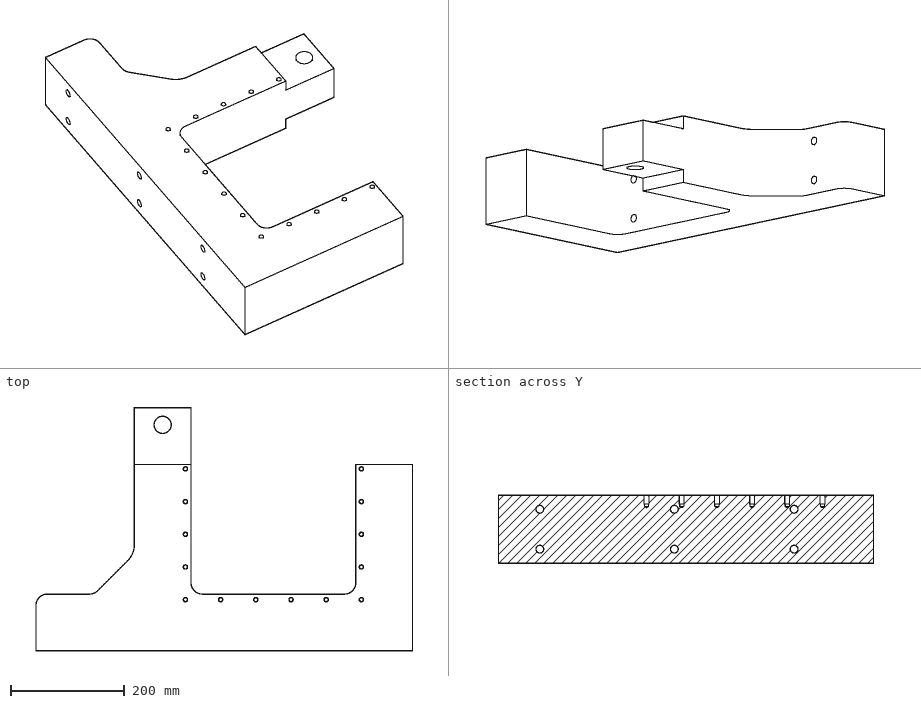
import cadquery as cq
import math

length = 663.0
thickness = 120.0
bar_depth = 100.0
arm_width = 100.0
arm_end_y = 328.0

tongue_length = 100.0
tongue_thickness = 73.5
tongue_hole_diameter = 30.0
tongue_hole_setback = 30.5

corner_radius = 20.0
web_top_radius = 40.0
web_width = 70.0
web_height = 70.0

opening_width = 290.0
opening_right = length - arm_width
opening_left = opening_right - opening_width
left_arm_x = opening_left - arm_width

edge_hole_diameter = 8.0
edge_hole_depth = 16.0
edge_hole_drill_diameter = 6.5
edge_hole_drill_depth = 20.0
edge_hole_tip_angle = 118
edge_hole_inset = 10.0
edge_hole_row_end = 320.0
bar_row_spaces = 5
arm_row_spaces = 4

bar_hole_diameter = 13.0
bar_hole_positions = (75.5, 312.0, 523.0)
bar_hole_spacing = 70.0


def make_body():
    """Plan outline of the bar and both arms, with its vertical corners rounded."""
    web_start = (left_arm_x - web_width, bar_depth)
    web_end = (left_arm_x, bar_depth + web_height)
    bar_end_corner = (0, bar_depth)
    opening_corners = ((opening_left, bar_depth), (opening_right, bar_depth))
    outline = [
        (0, 0),
        (length, 0),
        (length, arm_end_y),
        (opening_right, arm_end_y),
        opening_corners[1],
        opening_corners[0],
        (opening_left, arm_end_y),
        (left_arm_x, arm_end_y),
        web_end,
        web_start,
        bar_end_corner,
    ]
    body = cq.Workplane("XY").polyline(outline).close().extrude(thickness)
    body = round_corners(body, (web_start, bar_end_corner, *opening_corners), corner_radius)
    return round_corners(body, (web_end,), web_top_radius)


def round_corners(body, corners, radius):
    """Fillet the vertical edges that stand at the given plan positions."""
    for x, y in corners:
        edge = cq.selectors.NearestToPointSelector((x, y, thickness / 2))
        body = body.edges("|Z").edges(edge).fillet(radius)
    return body


def make_tongue():
    """Tongue centred in the thickness, with a hole through it."""
    center_x = left_arm_x + arm_width / 2
    hole_y = arm_end_y + tongue_length - tongue_hole_setback
    step = (thickness - tongue_thickness) / 2
    base = cq.Workplane("XY").workplane(offset=step)
    tongue = base.center(center_x, arm_end_y + tongue_length / 2)
    tongue = tongue.rect(arm_width, tongue_length).extrude(tongue_thickness)
    hole = base.center(center_x, hole_y).circle(tongue_hole_diameter / 2).extrude(tongue_thickness)
    return tongue.cut(hole)


def make_edge_hole_cutter():
    """Stepped shape reaching down from the origin: wide part, narrower drill, cone tip."""
    radius = edge_hole_diameter / 2
    drill_radius = edge_hole_drill_diameter / 2
    tip_height = drill_radius / math.tan(math.radians(edge_hole_tip_angle / 2))
    half_section = [
        (0, 0),
        (radius, 0),
        (radius, -edge_hole_depth),
        (drill_radius, -edge_hole_depth),
        (drill_radius, -edge_hole_drill_depth),
        (0, -edge_hole_drill_depth - tip_height),
    ]
    profile = cq.Workplane("XZ").polyline(half_section).close()
    return profile.revolve(360, (0, 0, 0), (0, 1, 0)).val()


def make_edge_holes():
    """Stepped blind holes in a U-shaped row around the opening."""
    left_row_x = opening_left - edge_hole_inset
    right_row_x = opening_right + edge_hole_inset
    bar_row_y = bar_depth - edge_hole_inset
    bar_pitch = (right_row_x - left_row_x) / bar_row_spaces
    arm_pitch = (edge_hole_row_end - bar_row_y) / arm_row_spaces
    points = [(left_row_x + i * bar_pitch, bar_row_y) for i in range(bar_row_spaces + 1)]
    for i in range(1, arm_row_spaces + 1):
        y = bar_row_y + i * arm_pitch
        points += [(left_row_x, y), (right_row_x, y)]
    cutter = make_edge_hole_cutter()
    locations = cq.Workplane("XY").workplane(offset=thickness).pushPoints(points)
    return locations.eachpoint(lambda place: cutter.moved(place))


def make_bar_holes():
    """Pairs of holes, one above the other, running through the bar along Y."""
    heights = (thickness / 2 - bar_hole_spacing / 2, thickness / 2 + bar_hole_spacing / 2)
    points = [(x, z) for x in bar_hole_positions for z in heights]
    front_face = cq.Workplane("XZ")
    return front_face.pushPoints(points).circle(bar_hole_diameter / 2).extrude(-bar_depth)


result = make_body().union(make_tongue()).cut(make_edge_holes()).cut(make_bar_holes())